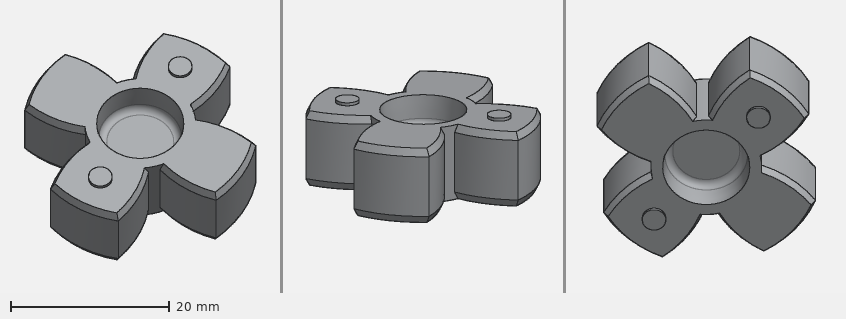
import cadquery as cq
import math

body_height = 10.0
arm_count = 4
arm_tip_radius = 14.85
hub_radius = 7.0

arm_half_width = 5.35
flank_bulge_distance = 10.65
flank_radius = 14.7
arm_root_distance = 5.0

bevel_height = 1.0
bevel_inset = 0.5

pocket_mouth_radius = 5.5
pocket_depth = 4.0
pocket_draft = 5.0
pocket_fillet = 1.0

pad_radius = 1.5
pad_height = 0.4
pad_distance = 10.0
pad_pair_turn = 90.0

top_z = body_height / 2


def flank_x(distance):
    """Half-width of an arm at a given distance from the axis."""
    rise = math.sqrt(flank_radius**2 - (distance - flank_bulge_distance) ** 2)
    return arm_half_width - flank_radius + rise


def tip_corner():
    """Point where the flank arc meets the tip arc on the +X side of the +Y arm."""
    flank_center_x = arm_half_width - flank_radius
    span = math.hypot(flank_center_x, flank_bulge_distance)
    along = (span**2 + arm_tip_radius**2 - flank_radius**2) / (2 * span)
    across = math.sqrt(arm_tip_radius**2 - along**2)
    unit_x = flank_center_x / span
    unit_y = flank_bulge_distance / span
    return along * unit_x + across * unit_y, along * unit_y - across * unit_x


def arm_outline(z):
    """Outline of the +Y arm on the horizontal plane at height z."""
    root_x = flank_x(arm_root_distance)
    corner_x, corner_y = tip_corner()
    return (
        cq.Workplane("XY", origin=(0, 0, z))
        .moveTo(-root_x, arm_root_distance)
        .lineTo(root_x, arm_root_distance)
        .threePointArc((arm_half_width, flank_bulge_distance), (corner_x, corner_y))
        .threePointArc((0, arm_tip_radius), (-corner_x, corner_y))
        .threePointArc((-arm_half_width, flank_bulge_distance), (-root_x, arm_root_distance))
        .close()
    )


def make_arm():
    """The +Y arm: a straight core with a bevelled cap at each end."""
    core_top_z = top_z - bevel_height
    core = arm_outline(-core_top_z).extrude(2 * core_top_z)
    bevel_angle = math.degrees(math.atan2(bevel_inset, bevel_height))
    cap = arm_outline(core_top_z).extrude(bevel_height, taper=bevel_angle)
    return core.union(cap).union(cap.mirror("XY"))


def make_pocket():
    """Cutter for the pocket in the top face, with its floor edge rounded."""
    return (
        cq.Workplane("XY", origin=(0, 0, top_z))
        .circle(pocket_mouth_radius)
        .extrude(-pocket_depth, taper=pocket_draft)
        .faces("<Z")
        .edges()
        .fillet(pocket_fillet)
    )


def make_pads():
    """The pair of pads on the top face, on the Y axis."""
    return (
        cq.Workplane("XY", origin=(0, 0, top_z))
        .pushPoints([(0, pad_distance), (0, -pad_distance)])
        .circle(pad_radius)
        .extrude(pad_height)
    )


def turned(shape, angle):
    """Shape rotated about the Z axis by an angle in degrees."""
    return shape.rotate((0, 0, 0), (0, 0, 1), angle)


spider = cq.Workplane("XY", origin=(0, 0, -top_z)).circle(hub_radius).extrude(body_height)
arm = make_arm()
for index in range(arm_count):
    spider = spider.union(turned(arm, index * 360 / arm_count))

pocket = make_pocket()
spider = spider.cut(pocket).cut(pocket.mirror("XY"))

pads = make_pads()
bottom_pads = turned(pads.mirror("XY"), pad_pair_turn)
result = spider.union(pads).union(bottom_pads)